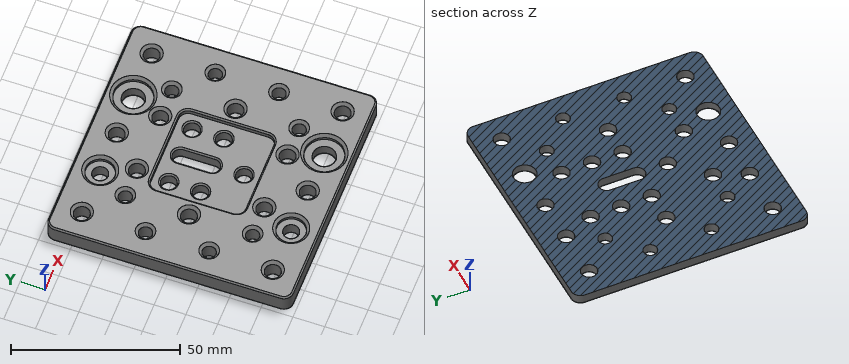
import cadquery as cq

plate_side = 77.0
plate_thickness = 6.0
corner_radius = 3.0
edge_chamfer = 0.5

pitch = 10.0
inner = pitch
middle = 2 * pitch
outer = 3 * pitch

large_hole = 5.0
small_hole = 4.2
hole_chamfer = 0.9

counterbore_offset = 14.25
narrow_counterbore = 9.1
wide_counterbore = 12.2
wide_hole = 7.15
counterbore_depth = 1.85
underside_chamfer = 0.5

pocket_side = 30.0
pocket_radius = 3.0
pocket_depth = 1.85
pocket_floor = plate_thickness - pocket_depth
pocket_hole_chamfer = 0.5

large_hole_places = (
    [(x, y) for x in (-outer, 0, outer) for y in (-outer, outer)]
    + [(x, y) for x in (-inner, inner) for y in (-middle, middle)]
    + [(-middle, 0), (middle, 0)]
)
small_hole_places = (
    [(x, y) for x in (-middle, middle) for y in (-middle, middle)]
    + [(x, y) for x in (-outer, outer) for y in (-inner, inner)]
)
pocket_hole_places = [(x, y) for x in (-inner, inner) for y in (0, inner)] + [(0, -inner)]


def rounded_square(side, radius, height):
    """Square block standing on Z = 0 with rounded vertical corners."""
    return cq.Workplane("XY").rect(side, side).extrude(height).edges("|Z").fillet(radius)


def edge_cone(diameter, chamfer, top):
    """Cone that chamfers the rim of a round hole at height top."""
    radius = diameter / 2
    profile = [(0, top - chamfer), (radius, top - chamfer), (radius + chamfer, top), (0, top)]
    return cq.Workplane("XZ").polyline(profile).close().revolve(360, (0, 0), (0, 1))


def chamfered_hole(diameter, chamfer, top):
    """Through hole whose upper rim, at height top, is chamfered."""
    bore = cq.Workplane("XY").circle(diameter / 2).extrude(top)
    return bore.union(edge_cone(diameter, chamfer, top))


def counterbored_hole(hole, counterbore):
    """Through hole with a flat counterbore and a chamfered rim."""
    floor = plate_thickness - counterbore_depth
    bore = cq.Workplane("XY").circle(hole / 2).extrude(plate_thickness)
    recess = cq.Workplane("XY").workplane(offset=floor).circle(counterbore / 2).extrude(counterbore_depth)
    return bore.union(recess).union(edge_cone(counterbore, hole_chamfer, plate_thickness))


def cut_at(body, cutter, places):
    """Remove a copy of the cutter at every (x, y) place."""
    for x, y in places:
        body = body.cut(cutter.translate((x, y, 0)))
    return body


def chamfered_slot():
    """Slot along Y through the pocket floor, with a chamfered upper rim."""
    slot_length = inner + large_hole
    rim_width = large_hole + 2 * pocket_hole_chamfer
    middle_y = inner / 2
    slot = cq.Workplane("XY").center(0, middle_y).slot2D(slot_length, large_hole, 90).extrude(pocket_floor)
    rim = (
        cq.Workplane("XY").workplane(offset=pocket_floor).center(0, middle_y)
        .slot2D(inner + rim_width, rim_width, 90).extrude(-pocket_hole_chamfer, taper=45)
    )
    return slot.union(rim)


def pocket():
    """Shallow square recess that widens at its upper rim."""
    recess = rounded_square(pocket_side, pocket_radius, pocket_depth)
    rim_side = pocket_side + 2 * edge_chamfer
    rim = (
        rounded_square(rim_side, pocket_radius + edge_chamfer, pocket_depth)
        .faces("<Z").chamfer(edge_chamfer)
        .translate((0, 0, pocket_depth - edge_chamfer))
    )
    return recess.union(rim).translate((0, 0, pocket_floor))


body = rounded_square(plate_side, corner_radius, plate_thickness).faces(">Z").chamfer(edge_chamfer)
body = body.cut(pocket())
body = body.cut(chamfered_slot())
body = cut_at(body, chamfered_hole(large_hole, pocket_hole_chamfer, pocket_floor), pocket_hole_places)
body = cut_at(body, chamfered_hole(large_hole, hole_chamfer, plate_thickness), large_hole_places)
body = cut_at(body, chamfered_hole(small_hole, hole_chamfer, plate_thickness), small_hole_places)

narrow_cutter = counterbored_hole(large_hole, narrow_counterbore)
body = cut_at(body, narrow_cutter, [(-counterbore_offset, y) for y in (-outer, outer)])

underside_rim = edge_cone(wide_hole, underside_chamfer, 0).mirror("XY")
wide_cutter = counterbored_hole(wide_hole, wide_counterbore).union(underside_rim)
body = cut_at(body, wide_cutter, [(counterbore_offset, y) for y in (-outer, outer)])

result = body